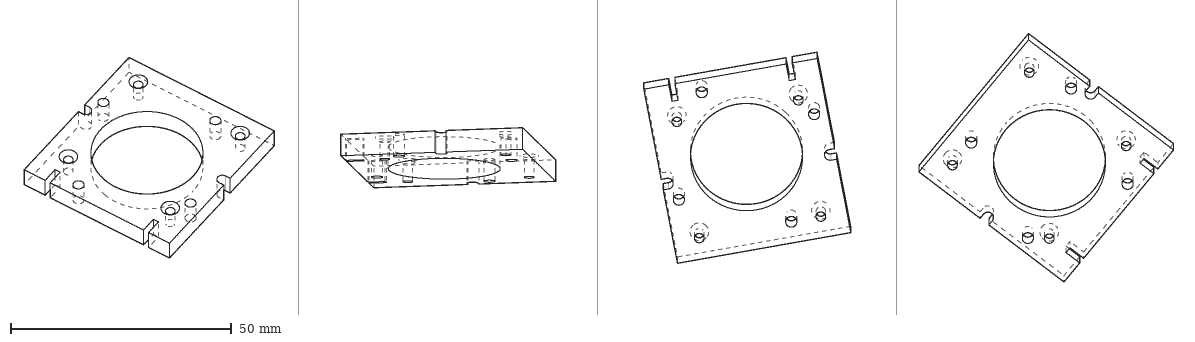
import cadquery as cq
import math

width = 40.0
length = 42.0
thickness = 5.0

bore_diameter = 25.4
bore_y = -0.92
pin_hole_diameter = 2.5
pin_circle_radius = 18.4
pin_start_angle = 23.0
pin_count = 4

screw_pitch = 28.0
screw_centre_y = 2.0
screw_hole_diameter = 2.2
countersink_diameter = 4.2
countersink_angle = 90.0

notch_width = 2.5
notch_depth = 2.5

slot_width = 1.4
slot_depth = 4.0
slot_spacing = 27.05


def make_plate():
    return cq.Workplane("XY").box(width, length, thickness, centered=(True, True, False))


def cut_bore(body):
    bore = cq.Workplane("XY").center(0, bore_y).circle(bore_diameter / 2).extrude(thickness)
    return body.cut(bore)


def cut_pin_holes(body):
    points = []
    for index in range(pin_count):
        angle = math.radians(pin_start_angle + index * 360 / pin_count)
        x = -pin_circle_radius * math.cos(angle)
        y = bore_y + pin_circle_radius * math.sin(angle)
        points.append((x, y))
    holes = cq.Workplane("XY").pushPoints(points).circle(pin_hole_diameter / 2).extrude(thickness)
    return body.cut(holes)


def cut_screw_holes(body):
    return (
        body.faces(">Z")
        .workplane(origin=(0, screw_centre_y, thickness))
        .rect(screw_pitch, screw_pitch, forConstruction=True)
        .vertices()
        .cskHole(screw_hole_diameter, countersink_diameter, countersink_angle)
    )


def cut_side_notches(body):
    notches = (
        cq.Workplane("XY")
        .pushPoints([(-width / 2, screw_centre_y), (width / 2, screw_centre_y)])
        .slot2D(2 * notch_depth, notch_width)
        .extrude(thickness)
    )
    return body.cut(notches)


def cut_edge_slots(body):
    slots = (
        cq.Workplane("XY")
        .pushPoints([(-slot_spacing / 2, -length / 2), (slot_spacing / 2, -length / 2)])
        .rect(slot_width, 2 * slot_depth)
        .extrude(thickness)
    )
    return body.cut(slots)


result = make_plate()
result = cut_bore(result)
result = cut_pin_holes(result)
result = cut_screw_holes(result)
result = cut_side_notches(result)
result = cut_edge_slots(result)